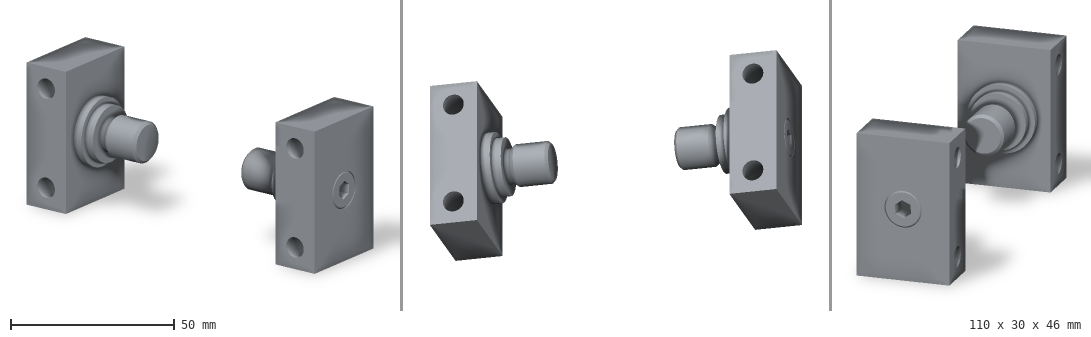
import cadquery as cq
import math

total_length = 110.0
block_outer_face = -total_length / 2

block_thickness = 15.0
block_width = 30.0
block_height = 46.0
bolt_hole_diameter = 6.6
bolt_hole_spacing = 32.0

shank_diameter = 12.0
shank_chamfer = 0.5
large_collar_diameter = 22.0
small_collar_diameter = 18.2
collar_thickness = 3.0
neck_diameter = 11.0
neck_length = 1.5
neck_collar_fillet = 0.3
neck_cone_fillet = 0.5
cone_angle = 35.0
pin_diameter = 13.2
pin_chamfer = 0.9
stud_length = 35.0

socket_across_flats = 5.1
socket_depth = 5.5
socket_rotation = 23.0

large_collar_end = block_thickness + collar_thickness
small_collar_end = large_collar_end + collar_thickness
neck_end = small_collar_end + neck_length
cone_length = (pin_diameter - neck_diameter) / 2 / math.tan(math.radians(cone_angle))
cone_end = neck_end + cone_length


def make_block():
    """Left block with a through bore for the stud and two cross bolt holes."""
    block = cq.Workplane("XY").box(block_thickness, block_width, block_height)
    block = block.faces("<X").workplane().hole(shank_diameter)
    bolt_holes = (
        cq.Workplane("XZ")
        .pushPoints([(0, -bolt_hole_spacing / 2), (0, bolt_hole_spacing / 2)])
        .circle(bolt_hole_diameter / 2)
        .extrude(block_width, both=True)
    )
    return block.cut(bolt_holes).translate((block_outer_face + block_thickness / 2, 0, 0))


def neck_edge(position):
    """Selector for the circular neck edge at a position along the stud."""
    margin = 0.01
    reach = neck_diameter / 2 + margin
    return cq.selectors.BoxSelector(
        (position - margin, -reach, -reach),
        (position + margin, reach, reach),
        boundingbox=True,
    )


def make_stud():
    """Left stud, turned about X, with a hexagon socket in its outer end."""
    shank_radius = shank_diameter / 2
    large_collar_radius = large_collar_diameter / 2
    small_collar_radius = small_collar_diameter / 2
    neck_radius = neck_diameter / 2
    pin_radius = pin_diameter / 2
    stud = (
        cq.Workplane("XY")
        .moveTo(0, 0)
        .lineTo(0, shank_radius - shank_chamfer)
        .lineTo(shank_chamfer, shank_radius)
        .lineTo(block_thickness, shank_radius)
        .lineTo(block_thickness, large_collar_radius)
        .lineTo(large_collar_end, large_collar_radius)
        .lineTo(large_collar_end, small_collar_radius)
        .lineTo(small_collar_end, small_collar_radius)
        .lineTo(small_collar_end, neck_radius)
        .lineTo(neck_end, neck_radius)
        .lineTo(cone_end, pin_radius)
        .lineTo(stud_length - pin_chamfer, pin_radius)
        .lineTo(stud_length, pin_radius - pin_chamfer)
        .lineTo(stud_length, 0)
        .close()
        .revolve(360, (0, 0, 0), (1, 0, 0))
    )
    stud = stud.edges(neck_edge(small_collar_end)).fillet(neck_collar_fillet)
    stud = stud.edges(neck_edge(neck_end)).fillet(neck_cone_fillet)

    socket_across_corners = socket_across_flats / math.cos(math.radians(30))
    socket = (
        cq.Workplane("YZ")
        .polygon(6, socket_across_corners)
        .extrude(socket_depth)
        .rotate((0, 0, 0), (1, 0, 0), socket_rotation)
    )
    return stud.cut(socket).translate((block_outer_face, 0, 0))


bodies = []
for left_body in (make_block(), make_stud()):
    bodies.append(left_body.val())
    bodies.append(left_body.mirror("YZ").val())

result = cq.Compound.makeCompound(bodies)